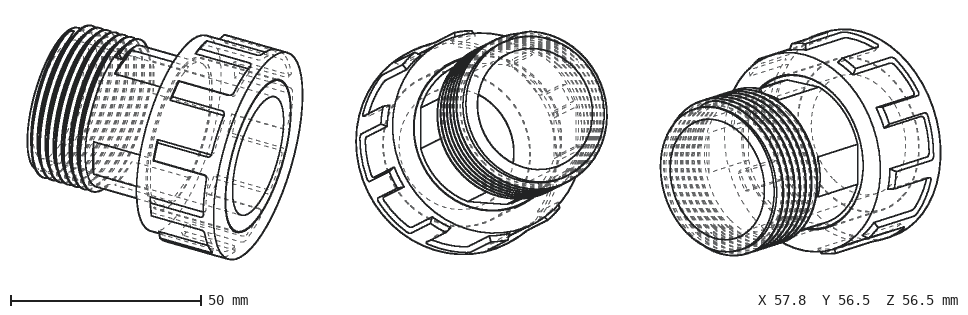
import cadquery as cq
import math


total_length = 57.8
threaded_end_length = 18.85
nut_face_x = 34.85
collar_recess = 0.3

bore_diameter = 32.35
core_diameter = 38.95
neck_across_flats = 37.4
collar_diameter = 41.2

crest_diameter = 41.95
pitch = 2.3
turns = 7
thread_start_x = 1.4
crest_width = 0.3
flank_half_angle = 27.5
root_overlap = 0.2
run_in_angle = 22.0
run_in_steps = 4

nut_body_diameter = 53.5
nut_rim_diameter = 56.5
nut_hole_diameter = 41.7
rim_width = 2.95
rib_count = 10
first_rib_angle = 10.5
rib_start_x = 38.8
rib_end_slope = 0.75
rib_foot_width = 5.7
rib_top_width = 4.8
rib_corner_radius = 1.0
pocket_margin = 2.3

collar_start_x = nut_face_x + collar_recess
core_radius = core_diameter / 2
ridge_foot_radius = core_radius - root_overlap
ridge_height = crest_diameter / 2 - ridge_foot_radius
rim_start_x = total_length - rim_width
nut_body_radius = nut_body_diameter / 2
nut_rim_radius = nut_rim_diameter / 2
nut_hole_radius = nut_hole_diameter / 2
rib_spacing = 360 / rib_count
rib_side_lean = (rib_foot_width - rib_top_width) / 2 / (nut_rim_radius - nut_body_radius)


def cylinder(diameter, start_x, end_x):
    """Solid cylinder on the X axis."""
    return cq.Workplane("YZ", origin=(start_x, 0, 0)).circle(diameter / 2).extrude(end_x - start_x)


def ridge_section(angle, height):
    """Thread ridge outline at `angle` degrees along the helix; 0 is the full thread start on +Z."""
    middle_x = thread_start_x + pitch * angle / 360
    half_crest = crest_width / 2
    half_foot = half_crest + height * math.tan(math.radians(flank_half_angle))
    crest_radius = ridge_foot_radius + height
    turn = math.radians(angle)
    outline = [
        (-half_foot, ridge_foot_radius),
        (half_foot, ridge_foot_radius),
        (half_crest, crest_radius),
        (-half_crest, crest_radius),
    ]
    points = [
        cq.Vector(middle_x + along, -radius * math.sin(turn), radius * math.cos(turn))
        for along, radius in outline
    ]
    return cq.Wire.makePolygon(points, close=True)


def make_thread():
    """Right-hand thread ridge of full height."""
    helix = cq.Wire.makeHelix(pitch, pitch * turns, core_radius)
    helix = helix.rotate(cq.Vector(0, 0, 0), cq.Vector(0, 1, 0), 90)
    helix = helix.rotate(cq.Vector(0, 0, 0), cq.Vector(1, 0, 0), 180)
    helix = helix.translate(cq.Vector(thread_start_x, 0, 0))
    ridge = cq.Solid.sweep(ridge_section(0, ridge_height), [], helix, makeSolid=True, isFrenet=True)
    return cq.Workplane(ridge)


def make_thread_run_in():
    """Short start of the thread that rises out of the core, steeply first and then more gently."""
    lowest = root_overlap / 2
    sections = []
    for step in range(run_in_steps + 1):
        remaining = 1 - step / run_in_steps
        height = lowest + (ridge_height - lowest) * (1 - remaining**2)
        sections.append(ridge_section(-run_in_angle * remaining, height))
    return cq.Workplane(cq.Solid.makeLoft(sections))


def make_neck():
    """Round neck with four flats, between the threaded end and the collar."""
    neck = cylinder(core_diameter, threaded_end_length, collar_start_x)
    square = cq.Workplane("YZ", origin=(threaded_end_length, 0, 0)).rect(neck_across_flats, neck_across_flats)
    return neck.intersect(square.extrude(collar_start_x - threaded_end_length))


def make_tailpiece():
    """Bored tube with a threaded end, a neck and the collar inside the nut."""
    body = cylinder(core_diameter, 0, threaded_end_length)
    body = body.union(make_neck())
    body = body.union(cylinder(collar_diameter, collar_start_x, total_length))
    body = body.cut(cylinder(bore_diameter, 0, total_length))
    return body.union(make_thread()).union(make_thread_run_in())


def rib_side_point(side, height, rib_angle):
    """(Y, Z) of a rib side at `height` from the axis; side is +1 towards the next rib, -1 away from it."""
    across = side * (rib_foot_width / 2 - rib_side_lean * (height - nut_body_radius))
    turn = math.radians(rib_angle)
    return (
        across * math.cos(turn) + height * math.sin(turn),
        height * math.cos(turn) - across * math.sin(turn),
    )


def make_pocket(rib_angle):
    """Space between the rib at rib_angle and the next one, rounded where the rib sides meet the rim."""
    next_angle = rib_angle + rib_spacing
    inner = nut_body_radius - pocket_margin
    outer = nut_rim_radius + pocket_margin
    outline = [
        rib_side_point(1, inner, rib_angle),
        rib_side_point(1, outer, rib_angle),
        rib_side_point(-1, outer, next_angle),
        rib_side_point(-1, inner, next_angle),
    ]
    pocket = cq.Workplane("YZ", origin=(nut_face_x, 0, 0)).polyline(outline).close()
    pocket = pocket.extrude(rim_start_x - nut_face_x)
    for start, end in [outline[0:2], outline[2:4]]:
        middle = (rim_start_x, (start[0] + end[0]) / 2, (start[1] + end[1]) / 2)
        pocket = pocket.edges(cq.selectors.NearestToPointSelector(middle)).fillet(rib_corner_radius)
    return pocket.cut(cylinder(nut_body_diameter, nut_face_x, rim_start_x))


def make_nut():
    """Nut ring whose grip ribs are left standing between pockets."""
    half_section = [
        (nut_face_x, nut_hole_radius),
        (nut_face_x, nut_body_radius),
        (rib_start_x, nut_body_radius),
        (rib_start_x + rib_end_slope, nut_rim_radius),
        (total_length, nut_rim_radius),
        (total_length, nut_hole_radius),
    ]
    body = cq.Workplane("XY").polyline(half_section).close().revolve(360, (0, 0, 0), (1, 0, 0))
    for i in range(rib_count):
        body = body.cut(make_pocket(first_rib_angle + i * rib_spacing))
    return body


tailpiece = make_tailpiece()
nut = make_nut()

result = cq.Compound.makeCompound([tailpiece.val(), nut.val()])